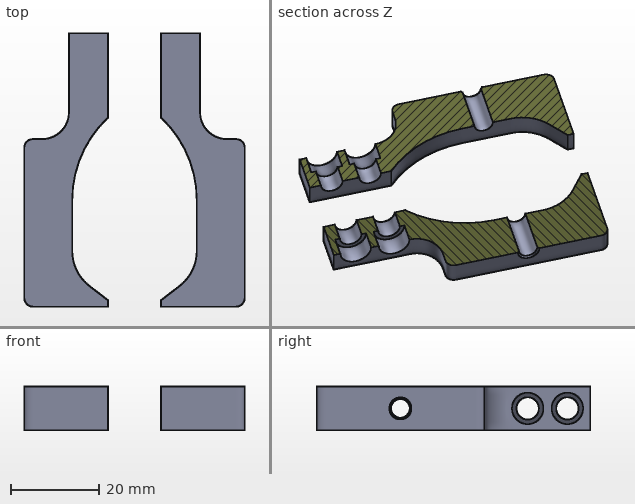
import cadquery as cq

length = 62.0
width = 50.0
thickness = 10.0

jaw_gap = 11.95
arm_outer_x = 14.9
body_length = 38.0
corner_radius = 2.0
shoulder_radius = 6.0

cavity_half_width = 14.1
cavity_top_y = 42.85
cavity_arc_start_y = 24.2
tip_height = 1.5
tip_ramp_rise = 6.2
tip_ramp_radius = 10.0

bolt_diameter = 5.0
counterbore_diameter = 7.1
counterbore_depth = 4.4
first_bolt_from_end = 5.2
bolt_spacing = 9.0

cross_hole_diameter = 4.2
cross_hole_mouth_diameter = 5.0
cross_hole_y = 19.0

half_width = width / 2
inner_x = jaw_gap / 2
mid_z = thickness / 2


def jaw_blank():
    """Extruded jaw on the +X side, with its outer corners rounded."""
    arc_run = cavity_half_width - inner_x
    arc_rise = cavity_top_y - cavity_arc_start_y
    arc_radius = (arc_run**2 + arc_rise**2) / (2 * arc_run)
    arc_mid_y = cavity_arc_start_y + arc_rise / 2
    arc_mid_x = cavity_half_width - arc_radius + (arc_radius**2 - (arc_rise / 2) ** 2) ** 0.5
    ramp_end_y = tip_height + tip_ramp_rise

    blank = (
        cq.Workplane("XY")
        .moveTo(inner_x, 0)
        .lineTo(half_width, 0)
        .lineTo(half_width, body_length)
        .lineTo(arm_outer_x, body_length)
        .lineTo(arm_outer_x, length)
        .lineTo(inner_x, length)
        .lineTo(inner_x, cavity_top_y)
        .threePointArc((arc_mid_x, arc_mid_y), (cavity_half_width, cavity_arc_start_y))
        .lineTo(cavity_half_width, ramp_end_y)
        .lineTo(inner_x, tip_height)
        .close()
        .extrude(thickness)
    )
    blank = blank.edges("|Z and >X").fillet(corner_radius)
    blank = fillet_upright_edge(blank, arm_outer_x, body_length, shoulder_radius)
    return fillet_upright_edge(blank, cavity_half_width, ramp_end_y, tip_ramp_radius)


def fillet_upright_edge(body, x, y, radius):
    """Round the vertical edge that stands at (x, y)."""
    return body.edges(cq.NearestToPointSelector((x, y, mid_z))).fillet(radius)


def inward_cylinder(start_x, y, diameter, depth):
    """Cylinder running toward -X from start_x at mid thickness."""
    return cq.Workplane(
        cq.Solid.makeCylinder(diameter / 2, depth, cq.Vector(start_x, y, mid_z), cq.Vector(-1, 0, 0))
    )


def bolt_hole_cutter(y):
    """Through hole with a counterbore that runs clear out past the arm."""
    through = inward_cylinder(half_width, y, bolt_diameter, half_width)
    counterbore_floor_x = arm_outer_x - counterbore_depth
    counterbore = inward_cylinder(half_width, y, counterbore_diameter, half_width - counterbore_floor_x)
    return through.union(counterbore)


def cross_hole_cutter():
    """Through hole with a 45 degree chamfer at the outer face."""
    through = inward_cylinder(half_width, cross_hole_y, cross_hole_diameter, half_width)
    mouth_radius = cross_hole_mouth_diameter / 2
    hole_radius = cross_hole_diameter / 2
    chamfer = cq.Solid.makeCone(
        mouth_radius,
        hole_radius,
        mouth_radius - hole_radius,
        cq.Vector(half_width, cross_hole_y, mid_z),
        cq.Vector(-1, 0, 0),
    )
    return through.union(cq.Workplane(chamfer))


def make_jaw():
    """Complete jaw on the +X side."""
    jaw = jaw_blank().cut(cross_hole_cutter())
    for index in range(2):
        bolt_y = length - first_bolt_from_end - index * bolt_spacing
        jaw = jaw.cut(bolt_hole_cutter(bolt_y))
    return jaw


right_jaw = make_jaw()
left_jaw = right_jaw.mirror("YZ")

result = cq.Compound.makeCompound([right_jaw.val(), left_jaw.val()])